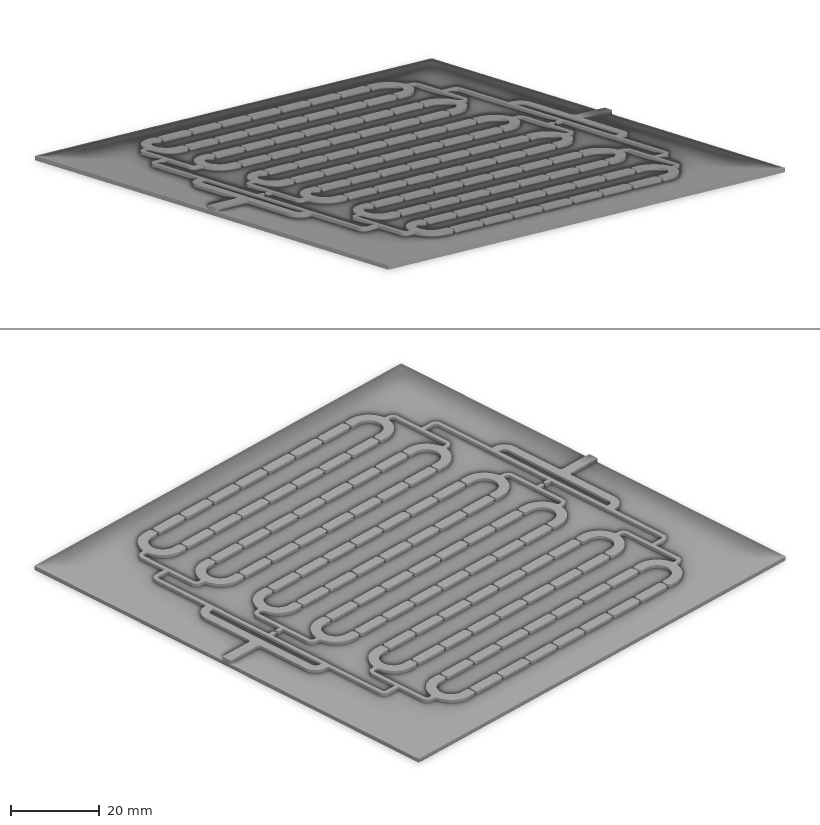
import cadquery as cq
import math

plate_size = 120.0
total_height = 2.0
plate_thickness = total_height / 2
track_height = total_height - plate_thickness

column_pitch = 9.0
loop_pitch = 2 * column_pitch
column_count = 12
loop_width = 2.4
cap_radius = column_pitch / 2
cap_center_y = 33.7

segment_pitch = 9.0
segment_count = 7
gap = 0.5
segment_corner_radius = 0.6
cap_end_y = (segment_count * segment_pitch + gap) / 2

feed_width = 1.0
trunk_width = 2.5
splitter_width = 2.0
splitter_half_span = loop_pitch
pair_pitch = 2 * loop_pitch
pair_bar_y = 41.5
main_bar_y = 46.2
splitter_bar_y = 49.7
feed_bend_radius = 1.2
splitter_bend_radius = 2.4
trunk_fillet = 0.7
loop_fillet = 0.7
stub_corner_radius = 0.45


def track_box(x_center, width, y_min, y_max):
    """Raised rectangle standing on the plate."""
    return (
        cq.Workplane("XY", origin=(x_center, (y_min + y_max) / 2, plate_thickness))
        .rect(width, y_max - y_min)
        .extrude(track_height)
    )


def bridge(half_span, y_bottom, y_top, width, bend_radius):
    """Inverted U track, centered on X = 0 and given by its centerline, with rounded upper bends."""

    def block(offset):
        body = track_box(0, 2 * (half_span + offset), y_bottom, y_top + offset)
        return body.edges("|Z and >Y").fillet(bend_radius + offset)

    return block(width / 2).cut(block(-width / 2))


def round_corners(body, corners, radius):
    """Round the upright edges of body that pass through the given XY points."""
    reach = 0.06
    for x, y in corners:
        around_corner = cq.selectors.BoxSelector(
            (x - reach, y - reach, 0), (x + reach, y + reach, 2 * total_height)
        )
        body = body.edges("|Z").edges(around_corner).fillet(radius)
    return body


def loop_cap(x_loop):
    """Half-round end of a loop with two short legs reaching the first gaps."""
    outer = cap_radius + loop_width / 2
    inner = cap_radius - loop_width / 2
    return (
        cq.Workplane("XY", origin=(x_loop, 0, plate_thickness))
        .moveTo(-outer, cap_end_y)
        .lineTo(-outer, cap_center_y)
        .threePointArc((0, cap_center_y + outer), (outer, cap_center_y))
        .lineTo(outer, cap_end_y)
        .lineTo(inner, cap_end_y)
        .lineTo(inner, cap_center_y)
        .threePointArc((0, cap_center_y + inner), (-inner, cap_center_y))
        .lineTo(-inner, cap_end_y)
        .close()
        .extrude(track_height)
        .edges("|Z and <Y")
        .fillet(segment_corner_radius)
    )


def pair_feed():
    """Two loop caps and the bar that joins them, centered on X = 0."""
    half_pair = loop_pitch / 2
    half_feed = feed_width / 2
    outer = cap_radius + loop_width / 2
    body = bridge(half_pair, cap_center_y + cap_radius, pair_bar_y, feed_width, feed_bend_radius)
    corner_y = cap_center_y + math.sqrt(outer**2 - half_feed**2)
    corners = []
    for x_loop in (-half_pair, half_pair):
        body = body.union(loop_cap(x_loop))
        corners += [(x_loop - half_feed, corner_y), (x_loop + half_feed, corner_y)]
    return round_corners(body, corners, loop_fillet)


def splitter():
    """Trunk from the plate edge, dividing into two arms that land on the main bar."""
    trunk = track_box(0, trunk_width, splitter_bar_y, plate_size / 2)
    arms = bridge(splitter_half_span, main_bar_y, splitter_bar_y, splitter_width, splitter_bend_radius)
    corner_y = splitter_bar_y + splitter_width / 2
    corners = [(-trunk_width / 2, corner_y), (trunk_width / 2, corner_y)]
    return round_corners(arms.union(trunk), corners, trunk_fillet)


def center_stubs():
    """Branch toward the middle pair, broken by a gap between two rounded stubs."""
    gap_y = (main_bar_y + pair_bar_y) / 2
    upper = track_box(0, feed_width, gap_y + gap / 2, main_bar_y)
    lower = track_box(0, feed_width, pair_bar_y, gap_y - gap / 2)
    upper = upper.edges("|Z and <Y").fillet(stub_corner_radius)
    lower = lower.edges("|Z and >Y").fillet(stub_corner_radius)
    return upper.union(lower)


def feed_network():
    """All tracks of the +Y end, from the plate edge down to the loop caps."""
    main_bar = bridge(pair_pitch, pair_bar_y, main_bar_y, feed_width, feed_bend_radius)
    network = splitter().union(main_bar).union(center_stubs())
    pair = pair_feed()
    for x_pair in (-pair_pitch, 0, pair_pitch):
        network = network.union(pair.translate((x_pair, 0, 0)))
    return network


def column_segments():
    """Grid of straight loop pieces with rounded corners, separated by gaps."""
    return (
        cq.Workplane("XY", origin=(0, 0, plate_thickness))
        .rarray(column_pitch, segment_pitch, column_count, segment_count)
        .rect(loop_width, segment_pitch - gap)
        .extrude(track_height)
        .edges("|Z")
        .fillet(segment_corner_radius)
    )


plate = cq.Workplane("XY").box(plate_size, plate_size, plate_thickness, centered=(True, True, False))
top_network = feed_network()
bottom_network = top_network.mirror("XZ")
result = plate.union(top_network).union(bottom_network).union(column_segments())